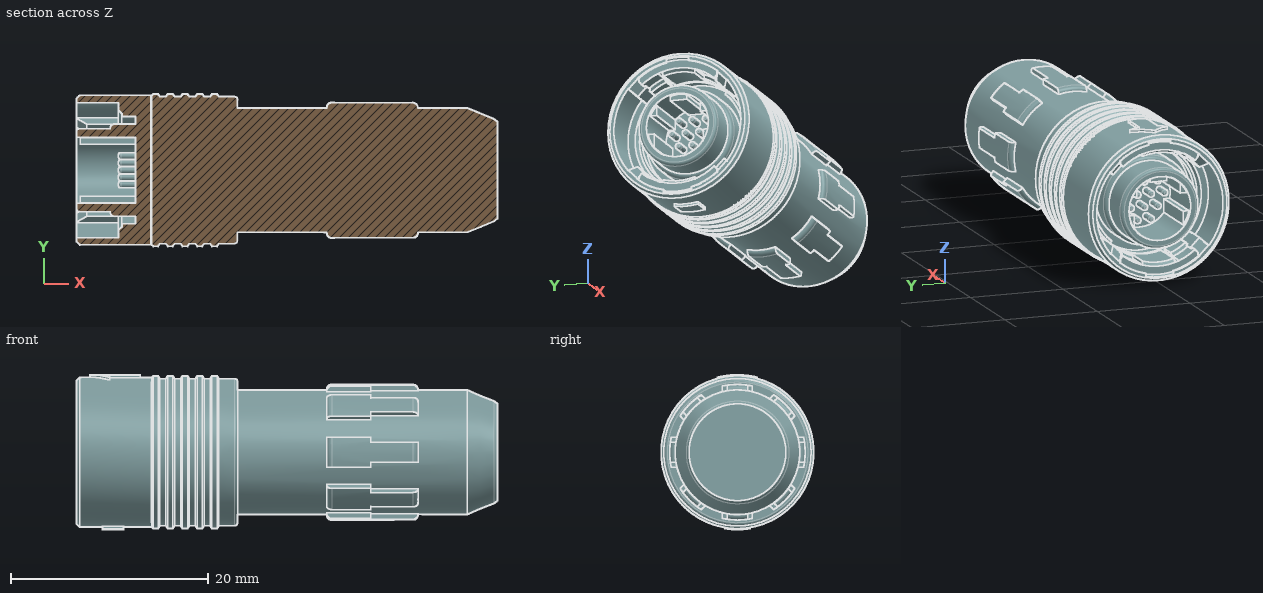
import cadquery as cq
import math


length = 42.7
collar_radius = 7.6
collar_end = 16.35
collar_edge = 0.35
sleeve_radius = 6.3

overlap = 0.2

band_start = 7.65
band_radius = 7.47
rib_diameter = 15.5
rib_count = 5
rib_pitch = 1.5
rib_base = 0.9
rib_top = 0.5
first_rib = 8.03

tail_start = 39.63
tail_edge_x = 42.3
tail_edge_radius = 5.2
tail_face_radius = 4.9

pad_count = 8
pad_start = 25.35
pad_step = 29.85
pad_end = 34.65
pad_radius = 6.87
pad_wide = 3.05
pad_narrow = 2.05
pad_edge = 0.5

mark_radius = 7.85
arrow_tip = 1.35
arrow_neck = 3.37
arrow_end = 6.5
arrow_head_width = 4.05
arrow_shaft_width = 1.95
label_start = 2.65
label_end = 4.8
label_width = 2.55

mouth_radius = 6.85
mouth_depth = 4.25
seat_radius = 6.05
seat_inner_radius = 5.72
seat_taper = 0.35
well_radius = 5.42
well_depth = 5.98

lip_recess = 0.2
land_front = 2.05
lip_half_angle = 40.0
slit_width = 0.4
slit_angle = 19.0
notch_radius = 6.9
notch_mouth_radius = 7.15
top_notch_width = 2.4
bottom_notch_width = 3.0

block_width = 1.4
block_front_radius = 6.75
block_radius = 5.9
block_ramp = 1.05

barrel_radius = 4.23
barrel_round = 0.35
shoulder_x = 3.4
shoulder_radius = 4.7
shoulder_round = 0.45
socket_radius = 3.35
socket_depth = 5.98

key_recess = 0.4
top_key_width = 1.8
top_key_z = 2.75
upper_key_y = 2.35
upper_key_z = 1.32
upper_key_height = 1.1
lower_key_y = 2.65
lower_key_z = -0.6
lower_key_height = 1.7

pin_radius = 0.35
pin_length = 1.7
pin_round = 0.2
pin_pitch = 1.45
pin_row_pitch = 1.32
pin_top_z = 1.75
pins_per_row = (3, 4, 3, 2)


def revolve_about_x(profile):
    """Revolve a closed profile drawn as (x, radius) about the X axis."""
    return profile.close().revolve(360, (0, 0, 0), (1, 0, 0))


def cylinder_x(radius, x_start, x_end):
    return cq.Workplane("YZ").workplane(offset=x_start).circle(radius).extrude(x_end - x_start)


def tube_x(outer, inner, x_start, x_end):
    return cylinder_x(outer, x_start, x_end).cut(cylinder_x(inner, x_start, x_end))


def box_between(x_range, y_range, z_range):
    sizes = [high - low for low, high in (x_range, y_range, z_range)]
    return (
        cq.Workplane("XY")
        .box(*sizes, centered=False)
        .translate((x_range[0], y_range[0], z_range[0]))
    )


def spin(shape, angle):
    return shape.rotate((0, 0, 0), (1, 0, 0), angle)


def make_outer_body():
    profile = (
        cq.Workplane("XY")
        .moveTo(0, 0)
        .lineTo(0, collar_radius - collar_edge)
        .lineTo(collar_edge, collar_radius)
        .lineTo(band_start, collar_radius)
        .lineTo(band_start, band_radius)
    )
    for index in range(rib_count):
        center = first_rib + index * rib_pitch
        profile = (
            profile.lineTo(center - rib_base / 2, band_radius)
            .lineTo(center - rib_top / 2, rib_diameter / 2)
            .lineTo(center + rib_top / 2, rib_diameter / 2)
            .lineTo(center + rib_base / 2, band_radius)
        )
    profile = (
        profile.lineTo(collar_end - collar_edge, band_radius)
        .radiusArc((collar_end, band_radius - collar_edge), collar_edge)
        .lineTo(collar_end, sleeve_radius)
        .lineTo(tail_start, sleeve_radius)
        .lineTo(tail_edge_x, tail_edge_radius)
        .lineTo(length, tail_face_radius)
        .lineTo(length, 0)
    )
    return revolve_about_x(profile)


def make_pads():
    """Stepped pads with rounded front and back edges."""
    root = sleeve_radius - overlap
    ring = revolve_about_x(
        cq.Workplane("XY")
        .moveTo(pad_start, root)
        .lineTo(pad_start, pad_radius - pad_edge)
        .radiusArc((pad_start + pad_edge, pad_radius), pad_edge)
        .lineTo(pad_end - pad_edge, pad_radius)
        .radiusArc((pad_end, pad_radius - pad_edge), pad_edge)
        .lineTo(pad_end, root)
    )
    half_wide = pad_wide / 2
    half_narrow = pad_narrow / 2
    wide = box_between((pad_start, pad_step), (-half_wide, half_wide), (0, pad_radius))
    narrow = box_between((pad_step, pad_end), (-half_narrow, half_narrow), (0, pad_radius))
    pad = ring.intersect(wide.union(narrow))
    pads = pad
    for index in range(1, pad_count):
        pads = pads.union(spin(pad, index * 360 / pad_count))
    return pads


def make_marks():
    """Arrow on top of the collar and a plain label pad underneath."""
    skin = tube_x(mark_radius, collar_radius - overlap, 0, band_start)
    half_head = arrow_head_width / 2
    half_shaft = arrow_shaft_width / 2
    arrow = (
        cq.Workplane("XY")
        .moveTo(arrow_tip, 0)
        .lineTo(arrow_neck, half_head)
        .lineTo(arrow_neck, half_shaft)
        .lineTo(arrow_end, half_shaft)
        .lineTo(arrow_end, -half_shaft)
        .lineTo(arrow_neck, -half_shaft)
        .lineTo(arrow_neck, -half_head)
        .close()
        .extrude(mark_radius)
    )
    label = box_between(
        (label_start, label_end), (-label_width / 2, label_width / 2), (-mark_radius, 0)
    )
    return skin.intersect(arrow.union(label))


def top_and_bottom_sectors(half_angle):
    """Wedges centred on +Z and -Z, reaching past the mouth wall."""
    reach = collar_radius
    half_width = reach * math.tan(math.radians(half_angle))
    return (
        cq.Workplane("YZ")
        .polyline([(0, 0), (half_width, reach), (-half_width, reach)])
        .close()
        .polyline([(0, 0), (half_width, -reach), (-half_width, -reach)])
        .close()
        .extrude(well_depth)
    )


def make_mouth():
    """Hollow of the collar, stepped down through the tapered seat to the well."""
    seat_end = mouth_depth + seat_taper
    hollow = revolve_about_x(
        cq.Workplane("XY")
        .moveTo(0, 0)
        .lineTo(0, mouth_radius)
        .lineTo(mouth_depth, mouth_radius)
        .lineTo(mouth_depth, seat_radius)
        .lineTo(seat_end, seat_inner_radius)
        .lineTo(seat_end, well_radius)
        .lineTo(well_depth, well_radius)
        .lineTo(well_depth, 0)
    )
    wide_well = tube_x(seat_inner_radius, well_radius - overlap, mouth_depth, well_depth)
    return hollow.union(wide_well.intersect(top_and_bottom_sectors(lip_half_angle)))


def tapered_ring(front):
    """Ring against the mouth wall with a tapered entry at its front."""
    return revolve_about_x(
        cq.Workplane("XY")
        .moveTo(front, mouth_radius + overlap)
        .lineTo(front, seat_radius)
        .lineTo(front + seat_taper, seat_inner_radius)
        .lineTo(mouth_depth, seat_inner_radius)
        .lineTo(mouth_depth, mouth_radius + overlap)
    )


def make_lips():
    """Top and bottom lips: a long tongue with a slit and a set-back land on either side."""
    wall = tube_x(mouth_radius + overlap, seat_radius, lip_recess, mouth_depth)
    lands = wall.union(tapered_ring(land_front)).intersect(top_and_bottom_sectors(lip_half_angle))
    tongues = tapered_ring(lip_recess).intersect(top_and_bottom_sectors(slit_angle))
    lips = lands.union(tongues)
    slit = box_between(
        (lip_recess, mouth_depth),
        (-slit_width / 2, slit_width / 2),
        (well_radius, seat_radius),
    )
    for angle in (slit_angle, -slit_angle):
        lips = lips.cut(spin(slit, angle)).cut(spin(slit, 180 + angle))
    return lips


def make_rim_notches():
    """Flared notches in the collar rim, ending at the front of the lips."""
    cone = revolve_about_x(
        cq.Workplane("XY")
        .moveTo(0, 0)
        .lineTo(0, notch_mouth_radius)
        .lineTo(lip_recess, notch_radius)
        .lineTo(lip_recess, 0)
    )
    half_top = top_notch_width / 2
    half_bottom = bottom_notch_width / 2
    depth = (0, lip_recess)
    top = box_between(depth, (-half_top, half_top), (0, collar_radius))
    bottom = box_between(depth, (-half_bottom, half_bottom), (-collar_radius, 0))
    return cone.intersect(top.union(bottom))


def make_blocks():
    """Four ramped guide blocks standing in from the mouth wall."""
    block = (
        cq.Workplane("XZ")
        .moveTo(0, mouth_radius + overlap)
        .lineTo(0, block_front_radius)
        .lineTo(block_ramp, block_radius)
        .lineTo(mouth_depth, block_radius)
        .lineTo(mouth_depth, mouth_radius + overlap)
        .close()
        .extrude(block_width / 2, both=True)
    )
    blocks = spin(block, 45)
    for angle in (135, 225, 315):
        blocks = blocks.union(spin(block, angle))
    return blocks


def make_barrel():
    """Barrel with a rounded rim and shoulder, bored out as the contact socket."""
    barrel = revolve_about_x(
        cq.Workplane("XY")
        .moveTo(0, 0)
        .lineTo(0, barrel_radius - barrel_round)
        .radiusArc((barrel_round, barrel_radius), barrel_round)
        .lineTo(shoulder_x, barrel_radius)
        .radiusArc((shoulder_x + shoulder_round, shoulder_radius), shoulder_round)
        .lineTo(well_depth, shoulder_radius)
        .lineTo(well_depth, 0)
    )
    return barrel.cut(cylinder_x(socket_radius, 0, socket_depth))


def make_keys():
    """Five polarising keys running along the socket wall."""
    depth = (key_recess, socket_depth)
    outside = socket_radius + overlap
    half_top = top_key_width / 2
    keys = box_between(depth, (-half_top, half_top), (top_key_z, outside))
    upper = box_between(
        depth, (upper_key_y, outside), (upper_key_z, upper_key_z + upper_key_height)
    )
    lower = box_between(
        depth, (lower_key_y, outside), (lower_key_z - lower_key_height, lower_key_z)
    )
    for key in (upper, lower):
        keys = keys.union(key).union(key.mirror("XZ"))
    return keys.intersect(cylinder_x(outside, 0, socket_depth))


def make_pins():
    """Round-tipped pins on the socket floor, in staggered rows."""
    points = []
    for row, count in enumerate(pins_per_row):
        for column in range(count):
            y = (column - (count - 1) / 2) * pin_pitch
            points.append((y, pin_top_z - row * pin_row_pitch))
    return (
        cq.Workplane("YZ")
        .workplane(offset=socket_depth - pin_length)
        .pushPoints(points)
        .circle(pin_radius)
        .extrude(pin_length)
        .faces("<X")
        .edges()
        .fillet(pin_round)
    )


shell = make_outer_body().union(make_pads()).union(make_marks())
shell = shell.cut(make_mouth()).union(make_lips()).cut(make_rim_notches()).union(make_blocks())
result = shell.union(make_barrel()).union(make_keys()).union(make_pins())